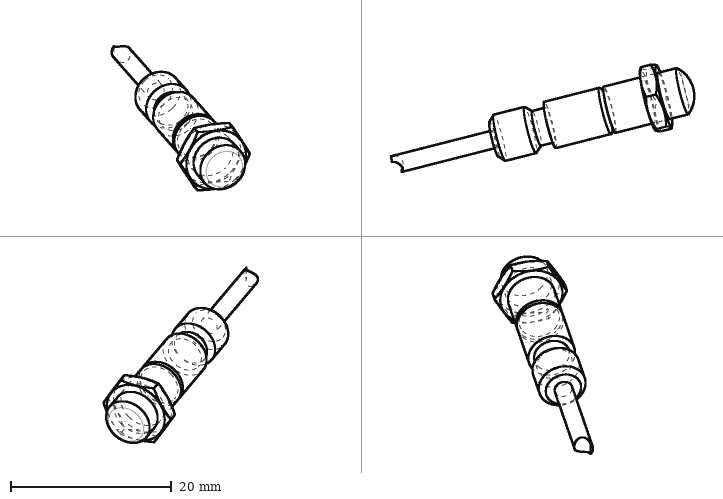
import cadquery as cq
import math

total_length = 38.8
body_radius = 3.0

cable_radius = 1.13
scoop_radius = 1.1
scoop_offset_y = 0.3

sleeve_start = 13.0
neck_start = 18.5
neck_end = 20.25
groove_end = 28.0
dome_start = 38.0

neck_radius = 2.25
sleeve_chamfer = body_radius - neck_radius
shoulder_length = 0.8
groove_length = 0.6
groove_depth = 0.43
tip_chamfer = 0.6
dome_base_radius = body_radius - tip_chamfer

nut_start = 33.0
nut_thickness = 2.0
nut_across_flats = 8.0
nut_corner_radius = nut_across_flats / math.sqrt(3)
nut_face_radius = 3.95
nut_chamfer_angle = 30.0
nut_chamfer_length = (nut_corner_radius - nut_face_radius) * math.tan(math.radians(nut_chamfer_angle))


def make_housing():
    """Turned sensor housing with a neck, a tapered groove and a domed tip."""
    dome_height = total_length - dome_start
    dome_radius = (dome_base_radius**2 + dome_height**2) / (2 * dome_height)
    dome_centre = total_length - dome_radius
    half_angle = math.asin(dome_base_radius / dome_radius) / 2
    dome_middle = (
        dome_centre + dome_radius * math.cos(half_angle),
        dome_radius * math.sin(half_angle),
    )
    profile = (
        cq.Workplane("XY")
        .moveTo(sleeve_start, 0)
        .lineTo(sleeve_start, neck_radius)
        .lineTo(sleeve_start + sleeve_chamfer, body_radius)
        .lineTo(neck_start - shoulder_length, body_radius)
        .lineTo(neck_start, neck_radius)
        .lineTo(neck_end, neck_radius)
        .lineTo(neck_end, body_radius)
        .lineTo(groove_end - groove_length, body_radius)
        .lineTo(groove_end, body_radius - groove_depth)
        .lineTo(groove_end, body_radius)
        .lineTo(dome_start - tip_chamfer, body_radius)
        .lineTo(dome_start, dome_base_radius)
        .threePointArc(dome_middle, (total_length, 0))
        .close()
    )
    return profile.revolve(360, (0, 0, 0), (1, 0, 0))


def make_cable():
    """Round cable whose free end is scooped by a vertical cylinder."""
    cable = cq.Workplane("YZ").circle(cable_radius).extrude(sleeve_start)
    scoop = (
        cq.Workplane("XY")
        .center(0, scoop_offset_y)
        .circle(scoop_radius)
        .extrude(2 * cable_radius, both=True)
    )
    return cable.cut(scoop)


def make_sensor():
    """Housing and its moulded-in cable as a single body."""
    return make_housing().union(make_cable())


def make_nut():
    """Hexagonal nut with corners chamfered on both faces, bored to fit the housing."""
    hexagon = (
        cq.Workplane("YZ", origin=(nut_start, 0, 0))
        .polygon(6, 2 * nut_corner_radius)
        .extrude(nut_thickness)
    )
    nut_end = nut_start + nut_thickness
    chamfer_envelope = (
        cq.Workplane("XY")
        .moveTo(nut_start, 0)
        .lineTo(nut_start, nut_face_radius)
        .lineTo(nut_start + nut_chamfer_length, nut_corner_radius)
        .lineTo(nut_end - nut_chamfer_length, nut_corner_radius)
        .lineTo(nut_end, nut_face_radius)
        .lineTo(nut_end, 0)
        .close()
        .revolve(360, (0, 0, 0), (1, 0, 0))
    )
    bore = cq.Workplane("YZ", origin=(nut_start, 0, 0)).circle(body_radius).extrude(nut_thickness)
    return hexagon.intersect(chamfer_envelope).cut(bore)


sensor = make_sensor()
nut = make_nut()

result = cq.Compound.makeCompound([sensor.solids().val(), nut.solids().val()])